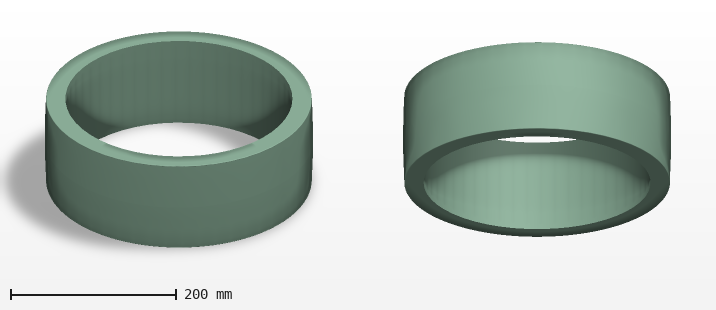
import cadquery as cq

outer_radius = 162.0
width = 114.3
bore_radius = 137.0
crown_drop = 1.5
edge_round = 1.0

half_width = width / 2
end_radius = outer_radius - crown_drop
quarter_radius = outer_radius - crown_drop / 4

profile = (
    cq.Workplane("XZ")
    .moveTo(bore_radius, -half_width)
    .lineTo(end_radius, -half_width)
    .threePointArc((quarter_radius, -half_width / 2), (outer_radius, 0))
    .threePointArc((quarter_radius, half_width / 2), (end_radius, half_width))
    .lineTo(bore_radius, half_width)
    .close()
)
ring = profile.revolve(360, (0, 0), (0, 1))

outer_rims = cq.selectors.RadiusNthSelector(1)
result = ring.faces("<Z or >Z").edges(outer_rims).fillet(edge_round)